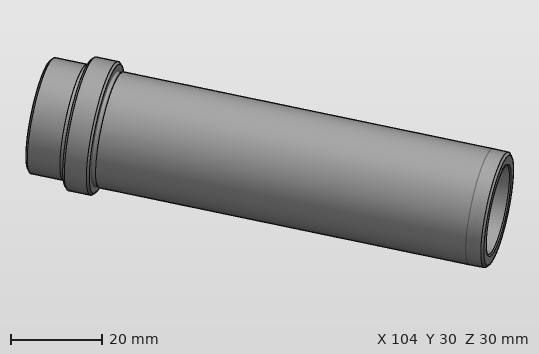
import cadquery as cq

length = 104.0
tube_radius = 26.0 / 2
flange_radius = 30.0 / 2
bore_radius = 20.0 / 2

flange_start = 8.9
flange_width = 6.0
flange_end = flange_start + flange_width

relief_width = 1.0
relief_depth = 0.4
relief_radius = tube_radius - relief_depth

lead_in_length = 4.0
lead_in_depth = 0.05
lead_in_radius = tube_radius - lead_in_depth

end_chamfer_length = 0.5
end_chamfer_depth = 0.6
flange_chamfer = 0.5
bore_chamfer = 0.3


def add_relief(outline, start):
    """Continue the outline with an arc groove that begins at the given place."""
    bottom = (start + relief_width / 2, relief_radius)
    end = (start + relief_width, tube_radius)
    return outline.threePointArc(bottom, end)


outline = (
    cq.Workplane("XY")
    .moveTo(0, bore_radius + bore_chamfer)
    .lineTo(0, tube_radius - end_chamfer_depth)
    .lineTo(end_chamfer_length, tube_radius)
    .lineTo(flange_start - relief_width, tube_radius)
)

outline = add_relief(outline, flange_start - relief_width)
outline = (
    outline.lineTo(flange_start, flange_radius - flange_chamfer)
    .lineTo(flange_start + flange_chamfer, flange_radius)
    .lineTo(flange_end - flange_chamfer, flange_radius)
    .lineTo(flange_end, flange_radius - flange_chamfer)
    .lineTo(flange_end, tube_radius)
)
outline = add_relief(outline, flange_end)

outline = (
    outline.lineTo(length - lead_in_length, tube_radius)
    .lineTo(length - end_chamfer_length, lead_in_radius)
    .lineTo(length, lead_in_radius - end_chamfer_depth)
    .lineTo(length, bore_radius + bore_chamfer)
    .lineTo(length - bore_chamfer, bore_radius)
    .lineTo(bore_chamfer, bore_radius)
    .close()
)

result = outline.revolve(360, (0, 0, 0), (1, 0, 0)).translate((-length / 2, 0, 0))